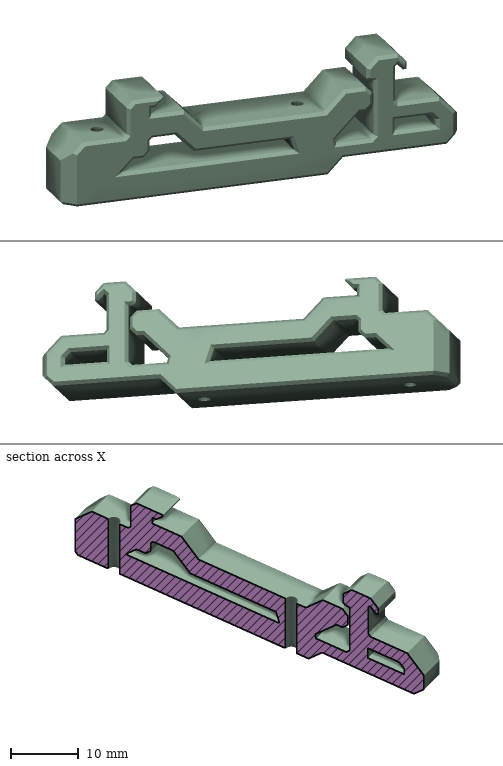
import cadquery as cq
import math

WIDTH = 10.0
LENGTH = 62.0
HEIGHT = 17.6

EDGE_BEVEL = 0.5

DECK_Z = 10.0
PAD_Z = 13.0
RAMP = PAD_Z - DECK_Z
END_SLOPE = 3.0
BASE_LIP = 0.5
DECK_FRONT_Y = 21.95
DECK_REAR_Y = 41.0
INNER_CORNER = 0.45

FRONT_HOOK_FRONT_Y = 9.85
FRONT_HOOK_REAR_Y = 13.75
FRONT_HOOK_TOP_Z = 15.6
FRONT_HOOK_CORNER = 1.05
FRONT_HOOK_TIP_Y = 15.6
FRONT_HOOK_TIP_HEIGHT = 0.3
FRONT_HOOK_UNDER_Z = 14.1

ARM_REAR_Y = 48.5
ARM_CORNER = 1.0
ARM_BOTTOM_Z = 9.25
ARM_ROOT_Y = 46.45

SLOT_FLOOR_Z = 4.8
SLOT_FRONT_Y = 42.85
SLOT_TIP_Y = 42.65
SLOT_CORNER = 0.55

POST_FRONT_Y = 48.75
POST_REAR_Y = 52.1
HEAD_FRONT_Y = 47.55
HEAD_FRONT_CORNER = 1.6
HEAD_BOTTOM_Z = 13.9
HEAD_LOWER_CORNER = 0.45
HEAD_TOP_REAR_Y = 52.5
BARB_REAR_Y = 53.9
BARB_BOTTOM_Z = 15.0
BARB_TIP = 0.55
BARB_ROOT_CORNER = 0.3

FOOT_BOTTOM_Z = 2.4
FOOT_LOWER_CORNER = 1.8
FOOT_STEP_Y = 43.9

FOOT_WINDOW_FRONT_Y = 52.0
FOOT_WINDOW_REAR_Y = 58.45
FOOT_WINDOW_BOTTOM_Z = 5.5
FOOT_WINDOW_TOP_Z = 7.4
FOOT_WINDOW_CORNER = 0.85

WINDOW_FLOOR_Z = 4.5
WINDOW_DECK_Z = 6.4
WINDOW_PAD_Z = 9.35
WINDOW_FLOOR_FRONT_Y = 9.05
WINDOW_STEP_Y = 13.5
WINDOW_STEP_CORNER = 1.0
WINDOW_TOP_CORNER = 0.4
WINDOW_RAMP_Y = 17.4
WINDOW_TOP_REAR_Y = 35.65
WINDOW_FLOOR_REAR_Y = 36.3

HOLE_DIAMETER = 1.9
HOLE_YS = (6.9, 38.4)
FRONT_CORNER_CUT = 1.9
REAR_CORNER_CUT = 0.9


def front_outline():
    """Front end and front hook, from the base up and back to the deck."""
    tip_bottom_z = FRONT_HOOK_TOP_Z - FRONT_HOOK_TIP_HEIGHT
    tip_root_y = FRONT_HOOK_TIP_Y - (tip_bottom_z - FRONT_HOOK_UNDER_Z)
    return [
        (BASE_LIP, 0),
        (0, BASE_LIP),
        (0, DECK_Z - END_SLOPE),
        (END_SLOPE, DECK_Z),
        (FRONT_HOOK_FRONT_Y - INNER_CORNER, DECK_Z),
        (FRONT_HOOK_FRONT_Y, DECK_Z + INNER_CORNER),
        (FRONT_HOOK_FRONT_Y, FRONT_HOOK_TOP_Z - FRONT_HOOK_CORNER),
        (FRONT_HOOK_FRONT_Y + FRONT_HOOK_CORNER, FRONT_HOOK_TOP_Z),
        (FRONT_HOOK_TIP_Y, FRONT_HOOK_TOP_Z),
        (FRONT_HOOK_TIP_Y, tip_bottom_z),
        (tip_root_y, FRONT_HOOK_UNDER_Z),
        (FRONT_HOOK_REAR_Y, FRONT_HOOK_UNDER_Z),
        (FRONT_HOOK_REAR_Y, PAD_Z),
        (DECK_FRONT_Y - RAMP, PAD_Z),
        (DECK_FRONT_Y, DECK_Z),
    ]


def arm_outline():
    """Rear of the deck, around the arm and down into the slot."""
    slot_nose_z = ARM_BOTTOM_Z - (ARM_ROOT_Y - SLOT_TIP_Y)
    return [
        (DECK_REAR_Y, DECK_Z),
        (DECK_REAR_Y + RAMP, PAD_Z),
        (ARM_REAR_Y - ARM_CORNER, PAD_Z),
        (ARM_REAR_Y, PAD_Z - ARM_CORNER),
        (ARM_REAR_Y, ARM_BOTTOM_Z + ARM_CORNER),
        (ARM_REAR_Y - ARM_CORNER, ARM_BOTTOM_Z),
        (ARM_ROOT_Y, ARM_BOTTOM_Z),
        (SLOT_TIP_Y, slot_nose_z),
        (SLOT_FRONT_Y, SLOT_FLOOR_Z),
        (POST_FRONT_Y - SLOT_CORNER, SLOT_FLOOR_Z),
        (POST_FRONT_Y, SLOT_FLOOR_Z + SLOT_CORNER),
    ]


def clip_outline():
    """Clip post and head, from the front of the post over to its rear."""
    barb_top_z = HEIGHT - (BARB_REAR_Y - HEAD_TOP_REAR_Y)
    barb_root_z = BARB_BOTTOM_Z + (BARB_REAR_Y - BARB_TIP - POST_REAR_Y)
    return [
        (POST_FRONT_Y, HEAD_BOTTOM_Z),
        (HEAD_FRONT_Y + HEAD_LOWER_CORNER, HEAD_BOTTOM_Z),
        (HEAD_FRONT_Y, HEAD_BOTTOM_Z + HEAD_LOWER_CORNER),
        (HEAD_FRONT_Y, HEIGHT - HEAD_FRONT_CORNER),
        (HEAD_FRONT_Y + HEAD_FRONT_CORNER, HEIGHT),
        (HEAD_TOP_REAR_Y, HEIGHT),
        (BARB_REAR_Y, barb_top_z),
        (BARB_REAR_Y, BARB_BOTTOM_Z),
        (BARB_REAR_Y - BARB_TIP, BARB_BOTTOM_Z),
        (POST_REAR_Y + BARB_ROOT_CORNER, barb_root_z - BARB_ROOT_CORNER),
        (POST_REAR_Y, barb_root_z - 2 * BARB_ROOT_CORNER),
    ]


def foot_outline():
    """Rear foot, from the back of the clip post down to the base."""
    return [
        (POST_REAR_Y, DECK_Z + INNER_CORNER),
        (POST_REAR_Y + INNER_CORNER, DECK_Z),
        (LENGTH - END_SLOPE, DECK_Z),
        (LENGTH, DECK_Z - END_SLOPE),
        (LENGTH, FOOT_BOTTOM_Z + FOOT_LOWER_CORNER),
        (LENGTH - FOOT_LOWER_CORNER, FOOT_BOTTOM_Z),
        (FOOT_STEP_Y, FOOT_BOTTOM_Z),
        (FOOT_STEP_Y - FOOT_BOTTOM_Z, 0),
    ]


def foot_window_outline():
    """Small window through the rear foot."""
    return [
        (FOOT_WINDOW_FRONT_Y, FOOT_WINDOW_BOTTOM_Z),
        (FOOT_WINDOW_FRONT_Y, FOOT_WINDOW_TOP_Z),
        (FOOT_WINDOW_REAR_Y - FOOT_WINDOW_CORNER, FOOT_WINDOW_TOP_Z),
        (FOOT_WINDOW_REAR_Y, FOOT_WINDOW_TOP_Z - FOOT_WINDOW_CORNER),
        (FOOT_WINDOW_REAR_Y, FOOT_WINDOW_BOTTOM_Z),
    ]


def long_window_outline():
    """Long window that follows the deck and rises under the front pad."""
    return [
        (WINDOW_FLOOR_FRONT_Y, WINDOW_FLOOR_Z),
        (WINDOW_FLOOR_FRONT_Y + WINDOW_DECK_Z - WINDOW_FLOOR_Z, WINDOW_DECK_Z),
        (WINDOW_STEP_Y - WINDOW_STEP_CORNER, WINDOW_DECK_Z),
        (WINDOW_STEP_Y, WINDOW_DECK_Z + WINDOW_STEP_CORNER),
        (WINDOW_STEP_Y, WINDOW_PAD_Z - WINDOW_TOP_CORNER),
        (WINDOW_STEP_Y + WINDOW_TOP_CORNER, WINDOW_PAD_Z),
        (WINDOW_RAMP_Y, WINDOW_PAD_Z),
        (WINDOW_RAMP_Y + WINDOW_PAD_Z - WINDOW_DECK_Z, WINDOW_DECK_Z),
        (WINDOW_TOP_REAR_Y, WINDOW_DECK_Z),
        (WINDOW_FLOOR_REAR_Y, WINDOW_FLOOR_Z),
    ]


def plate(points):
    """Outline in the YZ plane extruded across the full width."""
    return cq.Workplane("YZ").polyline(points).close().extrude(WIDTH / 2, both=True)


def flat_wedge(first, last):
    """Solid with flat faces between two triangles whose corners pair up in order."""
    loops = [first, last]
    for i in range(3):
        loops.append([first[i - 1], first[i], last[i], last[i - 1]])
    faces = [cq.Face.makeFromWires(cq.Wire.makePolygon(loop, close=True)) for loop in loops]
    return cq.Solid.makeSolid(cq.Shell.makeShell(faces)).fix()


def edge_wedge(before, start, end, after, side):
    """Wedge that bevels the edge from start to end on one side face; the material lies to its right.

    The wedge has square ends, except that it runs on to the mitre at a concave corner.
    """
    def heading(a, b):
        return math.atan2(b[1] - a[1], b[0] - a[0])

    def run_on(turn):
        turn = (turn + math.pi) % (2 * math.pi) - math.pi
        return EDGE_BEVEL * math.tan(max(turn, 0) / 2)

    direction = heading(start, end)
    along = cq.Vector(0, math.cos(direction), math.sin(direction))
    inward = cq.Vector(0, along.z, -along.y)
    face_x = side * WIDTH / 2
    triangles = []
    for corner, shift in (
        (start, -run_on(direction - heading(before, start))),
        (end, run_on(heading(end, after) - direction)),
    ):
        at_face = cq.Vector(face_x, *corner)
        triangles.append([
            at_face,
            at_face + inward * EDGE_BEVEL + along * shift,
            at_face - cq.Vector(side * EDGE_BEVEL, 0, 0),
        ])
    return flat_wedge(*triangles)


def edge_wedges(points):
    """Bevel wedges for every edge of an outline, on both side faces."""
    wedges = []
    for i in range(len(points)):
        corners = [points[(i + step) % len(points)] for step in (-1, 0, 1, 2)]
        for side in (-1, 1):
            wedges.append(edge_wedge(*corners, side))
    return wedges


def corner_cuts(end_y, inward, size):
    """Upright prisms that cut the two side corners of an end at 45 degrees."""
    prisms = []
    for side in (-1, 1):
        side_x = side * WIDTH / 2
        points = [
            (side_x, end_y),
            (side_x - side * size, end_y),
            (side_x, end_y + inward * size),
        ]
        prisms.append(cq.Workplane("XY").polyline(points).close().extrude(HEIGHT).val())
    return prisms


def lip_cuts(size):
    """Bevels that carry the base lip of the front end along its two corner cuts."""
    lips = []
    for side in (-1, 1):
        side_x = side * WIDTH / 2
        triangles = []
        for z, reach in ((0, size + BASE_LIP * math.sqrt(2)), (BASE_LIP, size)):
            triangles.append([
                cq.Vector(side_x, 0, z),
                cq.Vector(side_x - side * reach, 0, z),
                cq.Vector(side_x, reach, z),
            ])
        lips.append(flat_wedge(*triangles))
    return lips


outer = front_outline() + arm_outline() + clip_outline() + foot_outline()
windows = [foot_window_outline(), long_window_outline()]
wedges = edge_wedges(outer)
body = plate(outer)
for window in windows:
    body = body.cut(plate(window))
    wedges += edge_wedges(window[::-1])

front_end_cuts = corner_cuts(0, 1, FRONT_CORNER_CUT) + lip_cuts(FRONT_CORNER_CUT)
rear_end_cuts = corner_cuts(LENGTH, -1, REAR_CORNER_CUT)
body = cq.Workplane(body.val().cut(*wedges, *front_end_cuts, *rear_end_cuts))

hole_places = [(0, y) for y in HOLE_YS]
holes = cq.Workplane("XY").pushPoints(hole_places).circle(HOLE_DIAMETER / 2).extrude(HEIGHT)
result = cq.Workplane(body.cut(holes).solids().val())